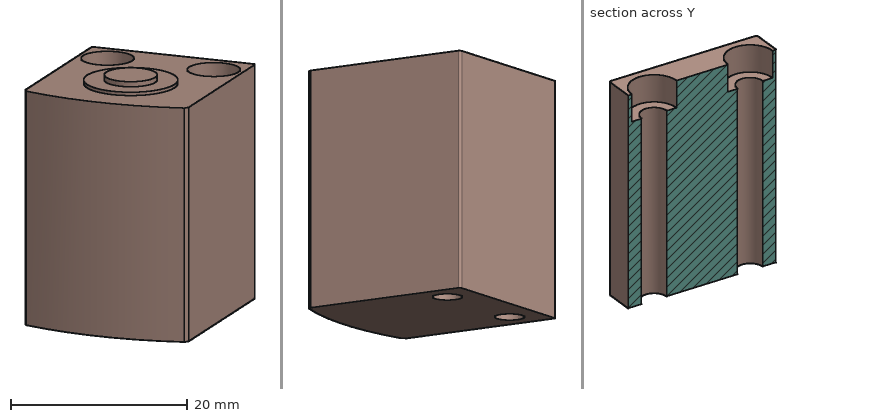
import cadquery as cq
import math

total_height = 28.5
width = 20.0
depth = 22.0
housing_height = 27.5
axis_to_back = 13.0
front_radius = 35.05
back_corner_radius = 0.28
front_corner_chamfer = 0.37

collar_diameter = 10.7
collar_height = 0.4
rod_diameter = 6.0
rod_seat_depth = 14.25

hole_diameter = 3.4
counterbore_diameter = 6.0
counterbore_depth = 3.5
hole_spacing = 13.0
hole_to_back = 4.0

back_y = axis_to_back
front_y = back_y - depth
front_bulge = front_radius - math.sqrt(front_radius**2 - (width / 2) ** 2)
side_front_y = front_y + front_bulge
hole_y = back_y - hole_to_back
collar_top = housing_height + collar_height
rod_bottom = collar_top - rod_seat_depth


def make_block():
    """Upright block with a bowed front, chamfered front edges and rounded back edges."""
    block = (
        cq.Workplane("XY")
        .moveTo(-width / 2, side_front_y)
        .threePointArc((0, front_y), (width / 2, side_front_y))
        .lineTo(width / 2, back_y)
        .lineTo(-width / 2, back_y)
        .close()
        .extrude(housing_height)
    )
    block = block.edges("|Z and >Y").fillet(back_corner_radius)
    front_corners = cq.selectors.BoxSelector(
        (-width, side_front_y - front_corner_chamfer, 0),
        (width, side_front_y + front_corner_chamfer, housing_height),
    )
    return block.edges("|Z").edges(front_corners).chamfer(front_corner_chamfer)


def make_rod():
    """Plain round rod seated in the housing and standing out of the collar."""
    return (
        cq.Workplane("XY", origin=(0, 0, rod_bottom))
        .circle(rod_diameter / 2)
        .extrude(total_height - rod_bottom)
    )


def make_housing():
    """Block with its collar, rod seat and counterbored mounting holes."""
    collar = (
        cq.Workplane("XY", origin=(0, 0, housing_height))
        .circle(collar_diameter / 2)
        .extrude(collar_height)
    )
    holes = (
        cq.Workplane("XY", origin=(0, 0, housing_height))
        .pushPoints([(side * hole_spacing / 2, hole_y) for side in (-1, 1)])
    )
    through_holes = holes.circle(hole_diameter / 2).extrude(-housing_height)
    counterbores = holes.circle(counterbore_diameter / 2).extrude(-counterbore_depth)
    rod_seat = make_rod()
    return make_block().union(collar).cut(through_holes).cut(counterbores).cut(rod_seat)


housing = make_housing()
rod = make_rod()
result = cq.Compound.makeCompound([housing.val(), rod.val()])